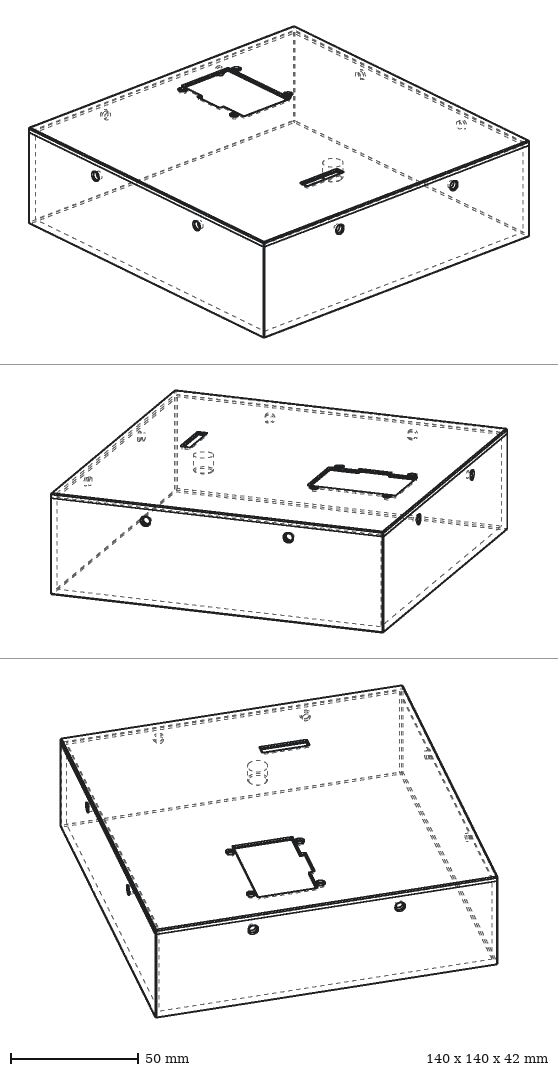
import cadquery as cq
side = 140.0
height = 42.0
lid_height = 2.0
lid_skin = 1.1
wall = 2.0
edge_chamfer = 0.5
box_height = height - lid_height
inner_side = side - 2 * wall
lid_underside_z = height - lid_skin

wall_hole_diameter = 3.2
wall_hole_offset = 30.0
wall_hole_z = 35.0

window_center = (-39.8, 12.7)
window_width = 36.2
window_height = 23.7
notch_center_x = -40.1
notch_width = 12.8
notch_depth = 2.0

mount_hole_diameter = 2.7
mount_center = (-40.1, 12.6)
mount_spacing_x = 30.6
mount_spacing_y = 28.3

slot_center = (40.8, -13.6)
slot_width = 3.2
slot_length = 18.6

post_diameter = 8.0
post_length = 6.7
post_center = (31.8, 0.0)


def build_box():
    """Open tray with chamfered outer edges and two chamfered holes in each side wall."""
    cavity = (
        cq.Workplane("XY", origin=(0, 0, wall))
        .rect(inner_side, inner_side)
        .extrude(box_height - wall)
    )
    tray = (
        cq.Workplane("XY")
        .rect(side, side)
        .extrude(box_height)
        .edges("|Z or <Z")
        .chamfer(edge_chamfer)
        .cut(cavity)
    )
    hole_places = [(-wall_hole_offset, wall_hole_z), (wall_hole_offset, wall_hole_z)]
    for plane in ("XZ", "YZ"):
        holes = (
            cq.Workplane(plane)
            .pushPoints(hole_places)
            .circle(wall_hole_diameter / 2)
            .extrude(side, both=True)
        )
        tray = tray.cut(holes)
    for outer_face in ("<X", ">X", "<Y", ">Y"):
        tray = tray.faces(outer_face).edges("%CIRCLE").chamfer(edge_chamfer)
    return tray


def window_outline(plane):
    """Rectangle with a notch in its lower side."""
    left = window_center[0] - window_width / 2
    right = window_center[0] + window_width / 2
    bottom = window_center[1] - window_height / 2
    top = window_center[1] + window_height / 2
    notch_left = notch_center_x - notch_width / 2
    notch_right = notch_center_x + notch_width / 2
    notch_bottom = bottom - notch_depth
    corners = [
        (left, top),
        (left, bottom),
        (notch_left, bottom),
        (notch_left, notch_bottom),
        (notch_right, notch_bottom),
        (notch_right, bottom),
        (right, bottom),
        (right, top),
    ]
    return plane.polyline(corners).close()


def mount_hole_outlines(plane):
    """Four circles at the corners of the mounting pattern."""
    corners = plane.center(*mount_center).rect(mount_spacing_x, mount_spacing_y, forConstruction=True)
    return corners.vertices().circle(mount_hole_diameter / 2)


def slot_outline(plane):
    """Narrow rectangle, long along Y."""
    return plane.center(*slot_center).rect(slot_width, slot_length)


def chamfered_cutter(draw_outline):
    """Cutter through the lid skin, flared at 45 degrees to chamfer the top rim."""
    lower_plane = cq.Workplane("XY", origin=(0, 0, lid_underside_z))
    flare_plane = cq.Workplane("XY", origin=(0, 0, height - edge_chamfer))
    straight = draw_outline(lower_plane).extrude(lid_skin)
    flare = draw_outline(flare_plane).extrude(edge_chamfer, taper=-45)
    return straight.union(flare)


def build_lid():
    """Shallow cover, recessed below, with a display window, mounting holes and a slot."""
    recess = (
        cq.Workplane("XY", origin=(0, 0, box_height))
        .rect(inner_side, inner_side)
        .extrude(lid_height - lid_skin)
    )
    lid = (
        cq.Workplane("XY", origin=(0, 0, box_height))
        .rect(side, side)
        .extrude(lid_height)
        .edges("|Z or >Z")
        .chamfer(edge_chamfer)
        .cut(recess)
    )
    for draw_outline in (window_outline, mount_hole_outlines, slot_outline):
        lid = lid.cut(chamfered_cutter(draw_outline))
    return lid


def build_post():
    """Round post under the lid with a chamfered lower rim."""
    return (
        cq.Workplane("XY", origin=(*post_center, lid_underside_z))
        .circle(post_diameter / 2)
        .extrude(-post_length)
        .faces("<Z")
        .edges()
        .chamfer(edge_chamfer)
    )


box = build_box()
lid = build_lid()
post = build_post()

result = cq.Compound.makeCompound([box.val(), lid.val(), post.val()])